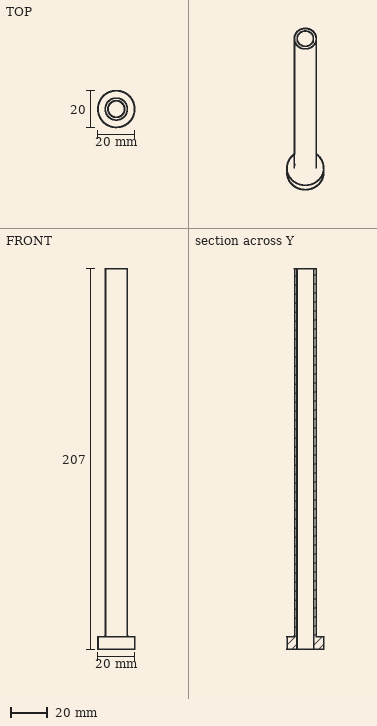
import cadquery as cq

total_length = 207.0
head_diameter = 20.0
head_height = 7.0
shaft_diameter = 12.0
bore_diameter = 9.0
neck_fillet = 0.6

head_radius = head_diameter / 2
shaft_radius = shaft_diameter / 2
bore_radius = bore_diameter / 2

profile = (
    cq.Workplane("XZ")
    .moveTo(bore_radius, 0)
    .lineTo(head_radius, 0)
    .lineTo(head_radius, head_height)
    .lineTo(shaft_radius + neck_fillet, head_height)
    .radiusArc((shaft_radius, head_height + neck_fillet), neck_fillet)
    .lineTo(shaft_radius, total_length)
    .lineTo(bore_radius, total_length)
    .close()
)

result = profile.revolve(360, (0, 0), (0, 1))